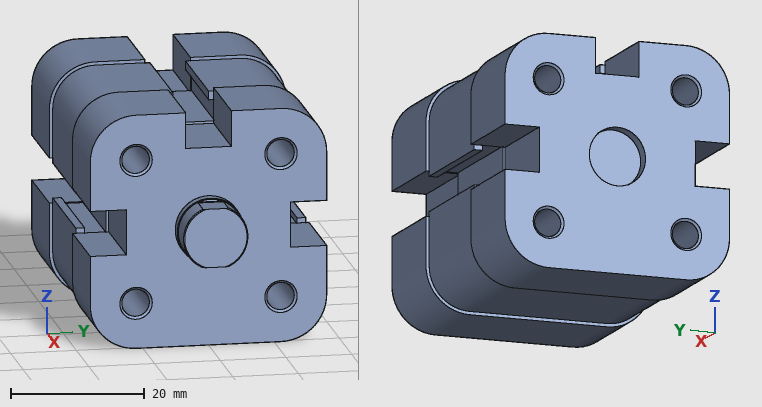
import cadquery as cq
import math

total_length = 53.0
cap_length = 14.2
barrel_length = 18.65
rear_face_x = -total_length / 2
barrel_start_x = rear_face_x + cap_length
barrel_end_x = barrel_start_x + barrel_length
front_face_x = barrel_end_x + cap_length
rod_tip_x = total_length / 2

cap_side = 36.0
barrel_side = 35.0
hole_offset = 11.0
hole_diameter = 4.2
hole_mouth_diameter = 4.95

cap_slot_width = 6.95
cap_slot_floor = 12.5
barrel_slot_mouth = 5.4
barrel_slot_width = 7.25
barrel_slot_floor = 12.9
barrel_lip_thickness = 1.3
slot_angles = (-90, 0, 90)

recess_diameter = 9.0
recess_depth = 2.0

collar_diameter = 10.1
collar_projection = 1.6
rod_diameter = 9.8
rod_tip_chamfer = 0.15

flat_spacing = 9.0
flat_length = 4.05
runout_start_height = 4.64
runout_angle = 30.0


def section_plane(x):
    """Plane normal to +X with its local x along +Y and its local y along +Z."""
    return cq.Workplane("YZ", origin=(x, 0, 0))


def rounded_block(start_x, length, side):
    corner_radius = side / 2 - hole_offset
    return section_plane(start_x).rect(side, side).extrude(length).edges("|X").fillet(corner_radius)


def slot_cutters(start_x, length, width, inner, outer):
    """Bars for the three slotted sides, from the inner to the outer distance off the axis."""
    bar = section_plane(start_x).center(0, (inner + outer) / 2).rect(width, outer - inner).extrude(length)
    return [bar.rotate((0, 0, 0), (1, 0, 0), angle) for angle in slot_angles]


def cut_slots(body, start_x, length, width, inner, outer):
    for cutter in slot_cutters(start_x, length, width, inner, outer):
        body = body.cut(cutter)
    return body


def corner_holes(start_x, length):
    return (
        section_plane(start_x)
        .rect(2 * hole_offset, 2 * hole_offset, forConstruction=True)
        .vertices()
        .circle(hole_diameter / 2)
        .extrude(length)
    )


def make_cap(start_x, outer_face):
    """End cap with three open slots and four holes chamfered at the outer face."""
    cap = rounded_block(start_x, cap_length, cap_side)
    cap = cut_slots(cap, start_x, cap_length, cap_slot_width, cap_slot_floor, cap_side / 2)
    cap = cap.cut(corner_holes(start_x, cap_length))
    mouth_chamfer = (hole_mouth_diameter - hole_diameter) / 2
    hole_rims = cap.faces(outer_face).edges(cq.selectors.RadiusNthSelector(0))
    return hole_rims.chamfer(mouth_chamfer)


def make_rear_cap():
    """End cap with a shallow round recess in its rear face."""
    recess = section_plane(rear_face_x).circle(recess_diameter / 2).extrude(recess_depth)
    return make_cap(rear_face_x, "<X").cut(recess)


def make_front_cap():
    """End cap with a collar on its front face and a bore for the rod through both."""
    collar = section_plane(front_face_x).circle(collar_diameter / 2).extrude(collar_projection)
    bore_length = cap_length + collar_projection
    rod_bore = section_plane(barrel_end_x).circle(rod_diameter / 2).extrude(bore_length)
    return make_cap(barrel_end_x, ">X").union(collar).cut(rod_bore)


def make_barrel():
    """Profile between the caps, with T-slots that narrow to a mouth between two lips."""
    barrel = rounded_block(barrel_start_x, barrel_length, barrel_side)
    outside = barrel_side / 2
    under_lip = outside - barrel_lip_thickness
    barrel = cut_slots(barrel, barrel_start_x, barrel_length, barrel_slot_mouth, under_lip, outside)
    barrel = cut_slots(barrel, barrel_start_x, barrel_length, barrel_slot_width, barrel_slot_floor, under_lip)
    return barrel.cut(corner_holes(barrel_start_x, barrel_length))


def flat_cutter():
    """Cutter above the rod for one wrench flat and the run-out behind it."""
    flat_height = flat_spacing / 2
    clear_height = collar_diameter / 2
    flat_start_x = rod_tip_x - flat_length
    runout_end_x = flat_start_x - (clear_height - runout_start_height) / math.tan(math.radians(runout_angle))
    return (
        cq.Workplane("XZ")
        .moveTo(rod_tip_x, clear_height)
        .lineTo(rod_tip_x, flat_height)
        .lineTo(flat_start_x, flat_height)
        .lineTo(flat_start_x, runout_start_height)
        .lineTo(runout_end_x, clear_height)
        .close()
        .extrude(rod_diameter / 2, both=True)
    )


def make_rod():
    """Rod from the barrel out through the front cap, with wrench flats facing up and down."""
    rod = section_plane(barrel_end_x).circle(rod_diameter / 2).extrude(rod_tip_x - barrel_end_x)
    rod = rod.faces(">X").chamfer(rod_tip_chamfer)
    upper_cutter = flat_cutter()
    return rod.cut(upper_cutter).cut(upper_cutter.mirror("XY"))


rear_cap = make_rear_cap()
barrel = make_barrel()
front_cap = make_front_cap()
rod = make_rod()

result = cq.Compound.makeCompound([rear_cap.val(), barrel.val(), front_cap.val(), rod.val()])